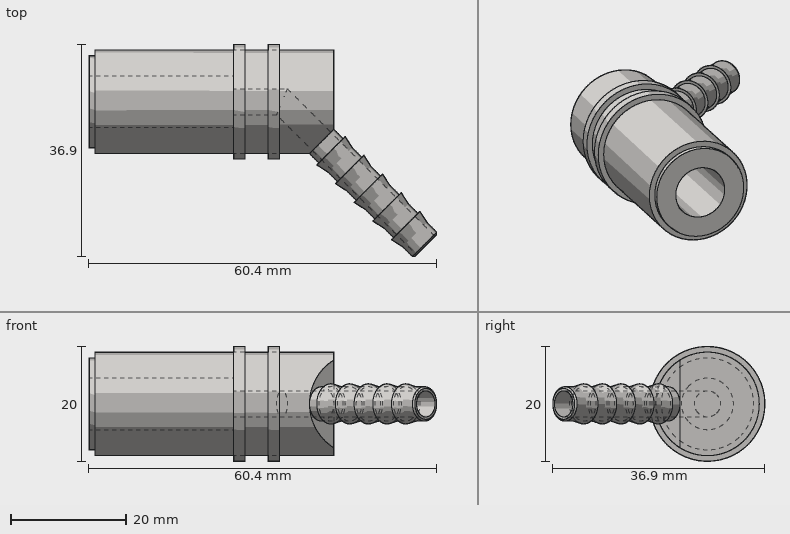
import cadquery as cq
import math

overall_length = 60.35

body_diameter = 18.0
body_length = 42.5
nose_diameter = 16.0
nose_length = 1.0

ring_diameter = 20.0
ring_width = 2.0
ring_pitch = 6.0
ring_count = 2
first_ring_start = 25.1

tail_angle = 45
tail_diameter = 6.0
barb_diameter = 7.0
barb_count = 5
barb_length = 2.3
barb_pitch = 2 * barb_length
tip_chamfer = 0.3

socket_diameter = 9.0
socket_depth = first_ring_start
bore_diameter = 4.5

tail_cos = math.cos(math.radians(tail_angle))
tail_sin = math.sin(math.radians(tail_angle))

flat_center_x = body_length - tail_diameter * tail_sin / 2
flat_center_y = -body_diameter / 2 + tail_diameter * tail_cos / 2

tail_length = (overall_length - flat_center_x - (tail_diameter / 2 - tip_chamfer) * tail_sin) / tail_cos

elbow_x = flat_center_x + flat_center_y * tail_cos / tail_sin

tail_plane = cq.Plane(
    origin=(flat_center_x, flat_center_y, 0),
    xDir=(tail_sin, tail_cos, 0),
    normal=(tail_cos, -tail_sin, 0),
)


def cylinder_along_x(start, length, diameter):
    return cq.Workplane("YZ", origin=(start, 0, 0)).circle(diameter / 2).extrude(length)


def make_outer_body():
    """Nose and main cylinder, with the corner on the tail side cut off flat."""
    nose = cylinder_along_x(0, nose_length, nose_diameter)
    barrel = cylinder_along_x(nose_length, body_length - nose_length, body_diameter)
    corner = cq.Workplane(tail_plane).rect(2 * body_diameter, 2 * body_diameter).extrude(body_diameter)
    return nose.union(barrel).cut(corner)


def make_tail():
    """Solid hose tail: each barb steps out sharply and tapers back towards the tip."""
    tail_radius = tail_diameter / 2
    barb_radius = barb_diameter / 2
    points = [(0, 0), (tail_radius, 0)]
    for index in range(barb_count):
        barb_start = barb_length + index * barb_pitch
        points += [
            (tail_radius, barb_start),
            (barb_radius, barb_start),
            (tail_radius, barb_start + barb_length),
        ]
    points += [
        (tail_radius, tail_length - tip_chamfer),
        (tail_radius - tip_chamfer, tail_length),
        (0, tail_length),
    ]
    profile_plane = cq.Plane(
        origin=tail_plane.origin,
        xDir=tail_plane.xDir,
        normal=tail_plane.yDir * -1,
    )
    profile = cq.Workplane(profile_plane).polyline(points).close()
    return profile.revolve(360, (0, 0, 0), (0, 1, 0))


def make_bore():
    """Mitred bore along the housing axis that turns into the tail axis."""
    tail_end_x = flat_center_x + tail_length * tail_cos
    tail_end_y = flat_center_y - tail_length * tail_sin
    path = cq.Workplane("XY").polyline([(0, 0), (elbow_x, 0), (tail_end_x, tail_end_y)])
    return cq.Workplane("YZ").circle(bore_diameter / 2).sweep(path, transition="right")


def make_housing():
    socket = cylinder_along_x(0, socket_depth, socket_diameter)
    return make_outer_body().union(make_tail()).cut(socket).cut(make_bore())


def make_seal_ring(start):
    outside = cylinder_along_x(start, ring_width, ring_diameter)
    return outside.cut(cylinder_along_x(start, ring_width, body_diameter))


housing = make_housing()
seal_rings = [make_seal_ring(first_ring_start + index * ring_pitch) for index in range(ring_count)]

result = cq.Compound.makeCompound([housing.val(), *[ring.val() for ring in seal_rings]])